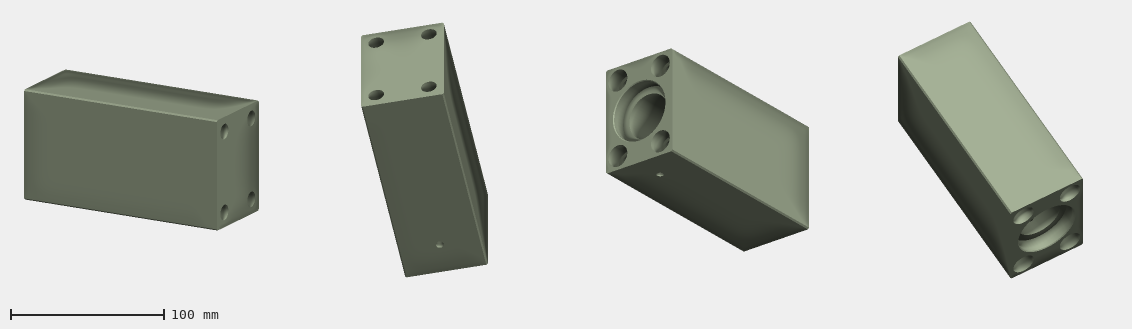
import cadquery as cq

length = 145.0
width = 55.0
height = 75.0
edge_chamfer = 1.0

hole_spacing_y = 35.1
hole_spacing_z = 55.0
hole_diameter = 10.5
counterbore_diameter = 15.5
counterbore_depth = 11.0

mouth_diameter = 43.5
mouth_chamfer = 0.6
recess_diameter = mouth_diameter - 2 * mouth_chamfer
recess_depth = 10.2
bore_diameter = 32.0
bore_depth = 116.0

port_diameter = 5.2
port_distance = 22.5

near_face = -length / 2


def cylinder_from_near_face(diameter, depth):
    """Cylinder on the centre line, reaching in +X from the -X end face."""
    end_plane = cq.Workplane("YZ", origin=(near_face, 0, 0))
    return end_plane.circle(diameter / 2).extrude(depth)


def make_block():
    block = cq.Workplane("XY").box(length, width, height)
    return block.edges("|X").chamfer(edge_chamfer)


def make_mounting_hole():
    through_hole = cylinder_from_near_face(hole_diameter, length)
    return through_hole.union(cylinder_from_near_face(counterbore_diameter, counterbore_depth))


def make_stepped_bore():
    """Stepped shaft shape, turned about the X axis, that the bore removes."""
    mouth_end = near_face + mouth_chamfer
    recess_end = near_face + recess_depth
    bore_end = near_face + bore_depth
    half_profile = [
        (near_face, 0),
        (near_face, mouth_diameter / 2),
        (mouth_end, recess_diameter / 2),
        (recess_end, recess_diameter / 2),
        (recess_end, bore_diameter / 2),
        (bore_end, bore_diameter / 2),
        (bore_end, 0),
    ]
    return cq.Workplane("XY").polyline(half_profile).close().revolve(360, (0, 0, 0), (1, 0, 0))


def make_port():
    """Vertical hole from the -Z face to the centre line of the bore."""
    bottom_plane = cq.Workplane("XY", origin=(near_face + port_distance, 0, -height / 2))
    return bottom_plane.circle(port_diameter / 2).extrude(height / 2)


result = make_block().cut(make_stepped_bore()).cut(make_port())
for side_y in (-1, 1):
    for side_z in (-1, 1):
        offset = (0, side_y * hole_spacing_y / 2, side_z * hole_spacing_z / 2)
        result = result.cut(make_mounting_hole().translate(offset))